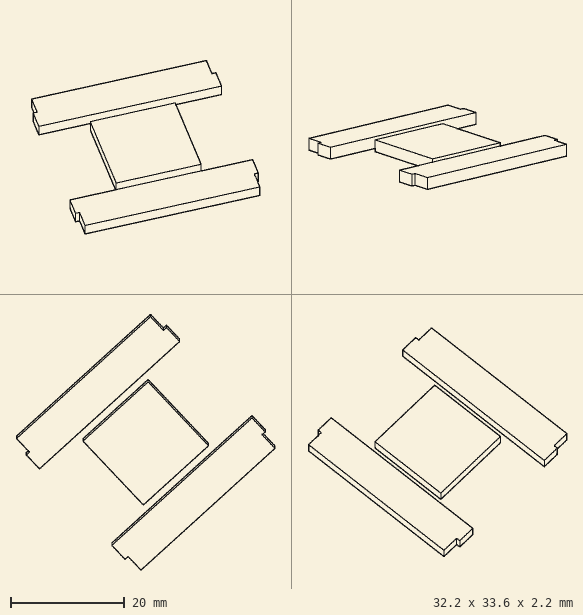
import cadquery as cq

overall_width = 32.2
rail_length = 33.6
thickness = 2.2

rail_width = 6.75
step_width = 3.33
step_depth = 0.75

plate_side = 15.62


def make_plate():
    """Flat square plate centred on the origin."""
    return cq.Workplane("XY").box(plate_side, plate_side, thickness)


def make_rail(side):
    """Rail at the -X (side = -1) or +X (side = 1) edge, stepped at its outer corners."""
    rail_x = side * (overall_width - rail_width) / 2
    step_x = side * (overall_width - step_width) / 2
    step_y = (rail_length - step_depth) / 2
    rail = cq.Workplane("XY").box(rail_width, rail_length, thickness).translate((rail_x, 0, 0))
    corner_steps = (
        cq.Workplane("XY")
        .pushPoints([(step_x, -step_y), (step_x, step_y)])
        .box(step_width, step_depth, thickness)
    )
    return rail.cut(corner_steps)


plate = make_plate()
rails = [make_rail(side) for side in (-1, 1)]

result = cq.Compound.makeCompound([plate.val(), *[rail.val().Solids()[0] for rail in rails]])